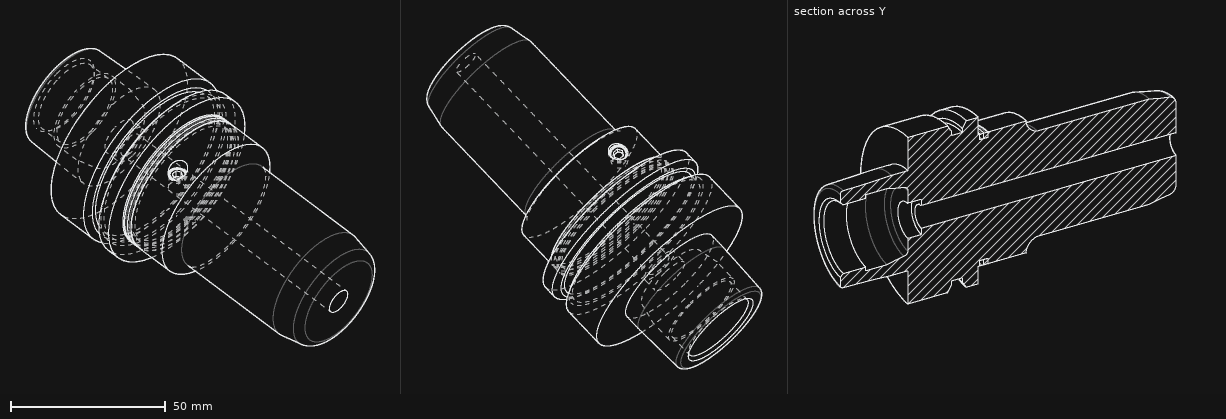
import cadquery as cq
import math

TOTAL_LENGTH = 124.0

SHANK_LENGTH = 24.9
SHANK_RADIUS = 19.0
TAPER_END_X = 18.8
TAPER_TIP_RADIUS = 18.4
SHANK_TIP_FILLET = 1.1

FLANGE_RADIUS = 31.5
FLANGE_WIDTH = 26.0
FLANGE_END_X = SHANK_LENGTH + FLANGE_WIDTH
GROOVE_START_X = 41.2
GROOVE_END_X = 45.0
GROOVE_FLOOR_RADIUS = 27.5
GROOVE_LEAD_IN = 1.5
GROOVE_LEAD_IN_DEPTH = 2.5

COLLAR_RADIUS = 24.9
COLLAR_END_X = 68.7
COLLAR_ARC_LENGTH = 4.0
COLLAR_ARC_RADIUS = 5.2

NOSE_RADIUS = 20.0
NOSE_CONE_START_X = 114.0
NOSE_END_RADIUS = 18.0
NOSE_TIP_FILLET = 3.0

BORE_RADIUS = 12.9
BORE_MOUTH_RADIUS = 14.0
BORE_MOUTH_LENGTH = 1.1
UNDERCUT_START_X = 9.4
UNDERCUT_RADIUS = 14.3
UNDERCUT_END_X = 17.2
UNDERCUT_CONE_LENGTH = 6.2
BORE_FLOOR_FILLET = 1.5
COUNTERBORE_RADIUS = 6.6
COUNTERBORE_DEPTH = 5.0
THROUGH_HOLE_RADIUS = 4.2

RING_GAP = 0.58
RING_WIDTH = 1.5
RING_PAIR_CENTER_X = FLANGE_END_X + RING_GAP + RING_WIDTH
RING_INNER_RADIUS = 23.0
RING_CHAMFER_LENGTH = 0.7
RING_CHAMFER_DEPTH = 0.2

SCREW_CENTER_X = 61.5
SCREW_HEAD_Y = -10.4
SCREW_HEAD_Z = 20.3
SCREW_TILT = 4.0
SCREW_RADIUS = 2.7
SCREW_LENGTH = 6.2
SCREW_CHAMFER = 0.31
SCREW_HOLE_RADIUS = 3.1
SOCKET_SIDES = 6
SOCKET_TURN = 30.0
SOCKET_ACROSS_FLATS = 3.0
SOCKET_DEPTH = 2.5
SOCKET_TIP_DEPTH = 0.9


def revolve_about_x(profile):
    """Close a profile and turn it about the X axis, the common axis of the holder."""
    return profile.close().revolve(360, (0, 0, 0), (1, 0, 0))


def make_outer_shape():
    """Solid turned outline: shank, grooved flange, collar and nose."""
    lead_in_radius = FLANGE_RADIUS - GROOVE_LEAD_IN_DEPTH
    profile = (
        cq.Workplane("XY")
        .moveTo(0, 0)
        .lineTo(0, TAPER_TIP_RADIUS)
        .lineTo(TAPER_END_X, SHANK_RADIUS)
        .lineTo(SHANK_LENGTH, SHANK_RADIUS)
        .lineTo(SHANK_LENGTH, FLANGE_RADIUS)
        .lineTo(GROOVE_START_X - GROOVE_LEAD_IN, FLANGE_RADIUS)
        .lineTo(GROOVE_START_X, lead_in_radius)
        .lineTo(GROOVE_START_X, GROOVE_FLOOR_RADIUS)
        .lineTo(GROOVE_END_X, GROOVE_FLOOR_RADIUS)
        .lineTo(GROOVE_END_X, lead_in_radius)
        .lineTo(GROOVE_END_X + GROOVE_LEAD_IN, FLANGE_RADIUS)
        .lineTo(FLANGE_END_X, FLANGE_RADIUS)
        .lineTo(FLANGE_END_X, COLLAR_RADIUS)
        .lineTo(COLLAR_END_X, COLLAR_RADIUS)
        .radiusArc((COLLAR_END_X + COLLAR_ARC_LENGTH, NOSE_RADIUS), -COLLAR_ARC_RADIUS)
        .lineTo(NOSE_CONE_START_X, NOSE_RADIUS)
        .lineTo(TOTAL_LENGTH, NOSE_END_RADIUS)
        .lineTo(TOTAL_LENGTH, 0)
    )
    outer = revolve_about_x(profile)
    outer = outer.faces("<X").edges().fillet(SHANK_TIP_FILLET)
    return outer.faces(">X").edges().fillet(NOSE_TIP_FILLET)


def make_bore():
    """Stepped bore with a flared mouth, an undercut and a rounded floor, open to the nose end."""
    cone_end_x = UNDERCUT_END_X + UNDERCUT_CONE_LENGTH
    floor_x = cone_end_x + BORE_FLOOR_FILLET
    counterbore_end_x = floor_x + COUNTERBORE_DEPTH
    profile = (
        cq.Workplane("XY")
        .moveTo(0, 0)
        .lineTo(0, BORE_MOUTH_RADIUS)
        .lineTo(BORE_MOUTH_LENGTH, BORE_RADIUS)
        .lineTo(UNDERCUT_START_X, BORE_RADIUS)
        .lineTo(UNDERCUT_START_X, UNDERCUT_RADIUS)
        .lineTo(UNDERCUT_END_X, UNDERCUT_RADIUS)
        .lineTo(cone_end_x, BORE_RADIUS)
        .radiusArc((floor_x, BORE_RADIUS - BORE_FLOOR_FILLET), BORE_FLOOR_FILLET)
        .lineTo(floor_x, COUNTERBORE_RADIUS)
        .lineTo(counterbore_end_x, COUNTERBORE_RADIUS)
        .lineTo(counterbore_end_x, THROUGH_HOLE_RADIUS)
        .lineTo(TOTAL_LENGTH, THROUGH_HOLE_RADIUS)
        .lineTo(TOTAL_LENGTH, 0)
    )
    return revolve_about_x(profile)


def make_ring_groove():
    """Rectangular groove that both rings fill."""
    return (
        cq.Workplane("YZ", origin=(RING_PAIR_CENTER_X - RING_WIDTH, 0, 0))
        .circle(COLLAR_RADIUS)
        .circle(RING_INNER_RADIUS)
        .extrude(2 * RING_WIDTH)
    )


def make_ring(side):
    """One ring; side is -1 or +1, the direction from the shared joint to its chamfered end."""
    end_x = RING_PAIR_CENTER_X + side * RING_WIDTH
    profile = (
        cq.Workplane("XY")
        .moveTo(RING_PAIR_CENTER_X, RING_INNER_RADIUS)
        .lineTo(RING_PAIR_CENTER_X, COLLAR_RADIUS)
        .lineTo(end_x - side * RING_CHAMFER_LENGTH, COLLAR_RADIUS)
        .lineTo(end_x, COLLAR_RADIUS - RING_CHAMFER_DEPTH)
        .lineTo(end_x, RING_INNER_RADIUS)
    )
    return revolve_about_x(profile)


def screw_plane():
    """Plane of the screw's head face, its normal pointing out of the hole."""
    tilt = math.radians(SCREW_TILT)
    return cq.Plane(
        origin=(SCREW_CENTER_X, SCREW_HEAD_Y, SCREW_HEAD_Z),
        xDir=(1, 0, 0),
        normal=(0, math.sin(tilt), math.cos(tilt)),
    )


def make_screw_hole():
    """Wide access hole above the head and the threaded seat below it."""
    access = cq.Workplane(screw_plane()).circle(SCREW_HOLE_RADIUS).extrude(FLANGE_RADIUS)
    seat = cq.Workplane(screw_plane()).circle(SCREW_RADIUS).extrude(-SCREW_LENGTH)
    return access.union(seat)


def make_screw():
    """Set screw with a chamfered head and a hexagon socket ending in a drill point."""
    screw = cq.Workplane("XY").circle(SCREW_RADIUS).extrude(-SCREW_LENGTH)
    screw = screw.faces(">Z").edges().chamfer(SCREW_CHAMFER)
    corner_diameter = SOCKET_ACROSS_FLATS / math.cos(math.pi / SOCKET_SIDES)
    socket = (
        cq.Workplane("XY")
        .transformed(rotate=(0, 0, SOCKET_TURN))
        .polygon(SOCKET_SIDES, corner_diameter)
        .extrude(-SOCKET_DEPTH)
    )
    drill_point = (
        cq.Workplane("XZ")
        .moveTo(0, -SOCKET_DEPTH)
        .lineTo(SOCKET_ACROSS_FLATS / 2, -SOCKET_DEPTH)
        .lineTo(0, -SOCKET_DEPTH - SOCKET_TIP_DEPTH)
        .close()
        .revolve(360, (0, 0, 0), (0, 1, 0))
    )
    screw = screw.cut(socket).cut(drill_point)
    return screw.val().moved(cq.Location(screw_plane()))


holder = make_outer_shape().cut(make_bore()).cut(make_ring_groove()).cut(make_screw_hole())
rings = [make_ring(side) for side in (-1, 1)]
screw = make_screw()

result = cq.Compound.makeCompound([holder.val(), *[ring.val() for ring in rings], screw])